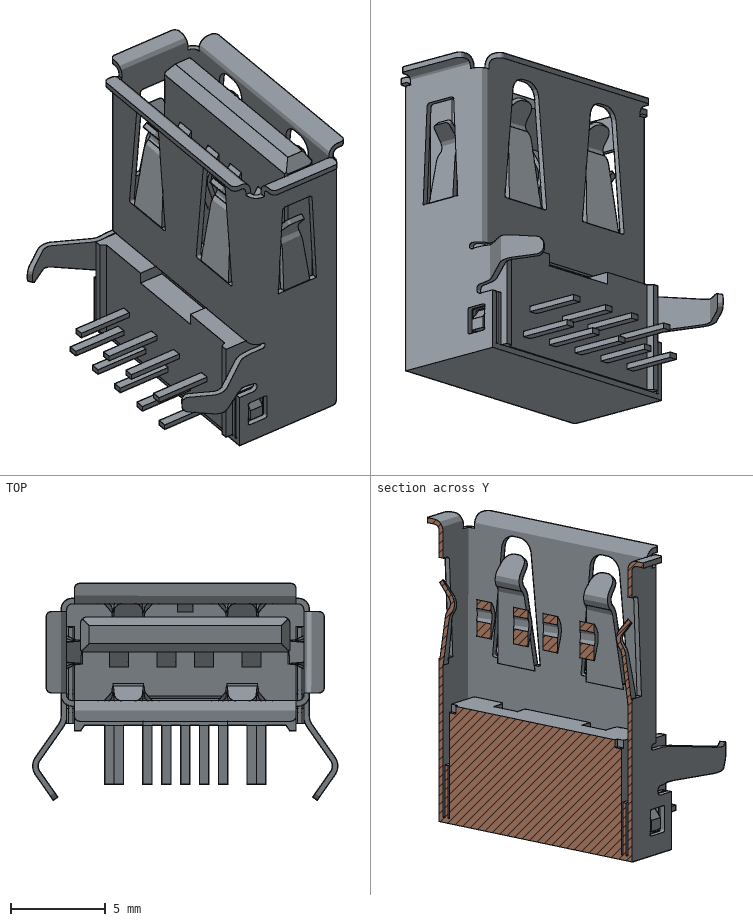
import cadquery as cq
import math


SHEET = 0.3
SHELL_X = 13.1
SHELL_Y = 5.7
HALF_X = SHELL_X / 2
HALF_Y = SHELL_Y / 2
INNER_X = HALF_X - SHEET
INNER_Y = HALF_Y - SHEET
CORNER_RADIUS = 0.6
HEEL_RADIUS = 0.45
TOP_Z = 16.48
CORNER_TOP_Z = 15.7
FRONT_BOTTOM_Z = 6.08
FOOT_Y = -3.76

LIP_OVERHANG = 0.79
LIP_CORNER_RADIUS = 0.3
LIP_BEND_RADIUS = 0.45
LIP_LENGTH_X = 11.7
LIP_LENGTH_Y = 4.3

FINGER_ROOT_Z = 8.9
FINGER_KNEE_IN = 0.45
FINGER_CREST_IN = 0.96
FINGER_TIP_IN = -0.03
FINGER_KNEE_DROP = 0.58
FINGER_TIP_RISE = 1.165
FINGER_KNEE_RADIUS = 0.83
FINGER_CREST_RADIUS = 0.6
FRONT_CREST_Z = 13.475
SIDE_CREST_Z = 12.03
FRONT_WINDOW_WIDTHS = (3.24, 1.84)
FRONT_FINGER_WIDTHS = (2.53, 1.21)
SIDE_WINDOW_WIDTHS = (2.48, 1.9)
SIDE_FINGER_WIDTHS = (1.74, 0.86)
FRONT_TIP_RADIUS = 0.62
SIDE_TIP_RADIUS = 0.2
FRONT_WINDOW_TOP_RADIUS = 0.82
FRONT_WINDOW_BOTTOM_RADIUS = 0.12
SIDE_WINDOW_TOP_Z = 14.42
SIDE_WINDOW_RADIUS = 0.2
FINGER_X = 3.0

HOOK_SPAN = 16.1
HOOK_Z = 4.72
HOOK_ROOT_HEIGHT = 2.06
HOOK_TIP_HEIGHT = 0.9
HOOK_TIP_RADIUS = 0.4
HOOK_ANGLE = 35.0
HOOK_ROOT_RADIUS = 0.95
HOOK_KNEE_RADIUS = 0.65
HOOK_ROOT_Y = -3.0
HOOK_KNEE_Y = -6.0
HOOK_TIP_Y = -7.81
SLOT_ABOVE_HOOK_END_Y = -2.1
SLOT_BELOW_HOOK_END_Y = -2.62
SLOT_END_ROUNDING = 0.49
SLOT_BELOW_HOOK_Z = 3.17

EAR_INNER_X = 5.92
EAR_OUTER_X = 6.15
EAR_BACK_Y = 1.3

BODY_HALF_X = 5.85
BODY_FRONT_Y = -3.85
BODY_STEP_Y = 1.36
RIB_FRONT_Y = -4.14
RIB_INNER_X = 5.5
RIB_FOOT_X = 5.31
NOTCH_WIDTH = 4.48
NOTCH_BACK_Y = -2.45
NOTCH_LEAN = 0.14
NOTCH_LEAN_Z = 5.95
NOTCH_Z = 5.43
FLOOR_Z = 6.5
FINGER_POCKET_WIDTH = 1.6
FINGER_POCKET_Y = 1.65
FINGER_POCKET_FLARE = 0.27
SIDE_POCKET_WIDTH = 1.24
SIDE_POCKET_X = 5.42

TONGUE_HALF_X = 5.52
TONGUE_BACK_Y = 1.86
TONGUE_TOP_Z = 16.25
TONGUE_TAPER_Z = 15.55
TONGUE_TAPER = 0.45
TONGUE_BACK_RADIUS = 0.35
TONGUE_FRONT_CHAMFER = 0.13

LATCH_Y = -2.58
LATCH_WIDTH = 0.78
LATCH_BOTTOM_Z = 1.29
LATCH_SLOPE_Z = 1.9
LATCH_TOP_Z = 2.5
LATCH_OUTER_X = 6.45
LATCH_WINDOW_WIDTH = 1.2
LATCH_WINDOW_BOTTOM_Z = 1.09
LATCH_WINDOW_TOP_Z = 2.54
LATCH_WINDOW_RADIUS = 0.12

BACK_TAB_WIDTH = 0.8
BACK_TAB_DEPTH = 0.42
BACK_TAB_HEIGHT = 1.0
BACK_TAB_TOP_Z = 8.5
BACK_TAB_BEND_RADIUS = 0.3

CONTACT_XS = (-3.5, -1.0, 1.0, 3.5)
CONTACT_WIDTH = 1.0
CONTACT_SHEET = 0.25
CONTACT_TOP_Z = 13.24
CONTACT_CREST_Z = 11.9
CONTACT_FOOT_Z = 9.1
CONTACT_BULGE = 0.86
CONTACT_BEND_RADIUS = 1.0
PIN_WIDTH = 0.5
PIN_HEIGHT = 0.3
PIN_TIP_Y = -6.97
UPPER_PIN_Z = 2.72
LOWER_PIN_Z = 1.23
LOWER_PIN_XS = (-4.0, -2.0, 0.0, 2.0, 4.0)


def block(x0, x1, y0, y1, z0, z1):
    """Box given by its limits along each axis."""
    return cq.Workplane("XY").box(x1 - x0, y1 - y0, z1 - z0, centered=False).translate((x0, y0, z0))


def both_sides(solid, plane):
    """The solid together with its mirror image."""
    return solid.union(solid.mirror(plane))


def bent_strip(plane, points, bend_radii, thickness, width):
    """Sheet strip centred on the plane; its centreline follows the points, one radius for each bend."""
    path = [cq.Vector(a, b) for a, b in points]
    steps = [(q - p).normalized() for p, q in zip(path, path[1:])]
    normals = [cq.Vector(-s.y, s.x) for s in steps]

    def side(sign):
        """One face of the sheet: its first point, (start, middle, end) of every bend, its last point."""
        shift = sign * thickness / 2
        bends = []
        for i, bend_radius in enumerate(bend_radii):
            before, after = steps[i], steps[i + 1]
            corner = path[i + 1]
            turn = math.atan2(before.cross(after).z, before.dot(after))
            setback = bend_radius * math.tan(abs(turn) / 2)
            start = corner - before * setback
            end = corner + after * setback
            centre = start + normals[i] * math.copysign(bend_radius, turn)
            radius = bend_radius - math.copysign(shift, turn * shift)
            middle = centre + (corner - centre).normalized() * radius
            bends.append((start + normals[i] * shift, middle, end + normals[i + 1] * shift))
        return path[0] + normals[0] * shift, bends, path[-1] + normals[-1] * shift

    left_first, left_bends, left_last = side(1)
    right_first, right_bends, right_last = side(-1)
    outline = cq.Workplane(plane).moveTo(left_first.x, left_first.y)
    for start, middle, end in left_bends:
        outline = outline.lineTo(start.x, start.y).threePointArc((middle.x, middle.y), (end.x, end.y))
    outline = outline.lineTo(left_last.x, left_last.y).lineTo(right_last.x, right_last.y)
    for start, middle, end in reversed(right_bends):
        outline = outline.lineTo(end.x, end.y).threePointArc((middle.x, middle.y), (start.x, start.y))
    return outline.lineTo(right_first.x, right_first.y).close().extrude(width / 2, both=True)


def tapered_plate(plane, depth, bottom_z, top_z, bottom_width, top_width):
    """Upright trapezoid extruded from the plane."""
    half_bottom = bottom_width / 2
    half_top = top_width / 2
    outline = [(-half_bottom, bottom_z), (half_bottom, bottom_z), (half_top, top_z), (-half_top, top_z)]
    return cq.Workplane(plane).polyline(outline).close().extrude(depth)


def lip(plane, outward, half_size, length):
    """Lip flaring away from the wall at the positive end of the outward axis."""
    wall = half_size - SHEET / 2
    path = [
        (wall, CORNER_TOP_Z),
        (wall, TOP_Z - SHEET / 2),
        (half_size + LIP_OVERHANG, TOP_Z - SHEET / 2),
    ]
    strip = bent_strip(plane, path, [LIP_BEND_RADIUS], SHEET, length)
    return strip.faces(">" + outward).edges("|Z").fillet(LIP_CORNER_RADIUS)


def make_tube():
    """Box shaped shell: four walls and a bottom plate, the front wall ending above the pins."""
    upper = block(-HALF_X, HALF_X, -HALF_Y, HALF_Y, FRONT_BOTTOM_Z, CORNER_TOP_Z)
    upper = upper.edges("|Z").fillet(CORNER_RADIUS)
    upper_hole = block(-INNER_X, INNER_X, -INNER_Y, INNER_Y, FRONT_BOTTOM_Z, CORNER_TOP_Z)
    upper = upper.cut(upper_hole.edges("|Z").fillet(CORNER_RADIUS - SHEET))

    lower = block(-HALF_X, HALF_X, FOOT_Y, HALF_Y, 0, FRONT_BOTTOM_Z)
    lower = lower.edges("|Z and >Y").fillet(CORNER_RADIUS)
    lower_hole = block(-INNER_X, INNER_X, FOOT_Y, INNER_Y, SHEET, FRONT_BOTTOM_Z)
    lower = lower.cut(lower_hole.edges("|Z and >Y").fillet(CORNER_RADIUS - SHEET))
    heel = block(-HALF_X, HALF_X, FOOT_Y, HALF_Y, 0, FRONT_BOTTOM_Z)
    lower = lower.intersect(heel.edges("|X and >Y and <Z").fillet(HEEL_RADIUS))
    return upper.union(lower)


def side_slot(end_y, bottom_z, top_z):
    """Slot through both side walls, open to the front, with a round back end."""
    slot = block(-HALF_X, HALF_X, RIB_FRONT_Y, end_y, bottom_z, top_z)
    return slot.edges("|X and >Y").fillet(SLOT_END_ROUNDING * (top_z - bottom_z))


def finger_strip(plane, outer, crest_z, width):
    """Spring strip leaning inward from a wall to its crest and back out; outer is the wall's outer face."""
    wall = outer - math.copysign(SHEET / 2, outer)
    inward = -math.copysign(1, outer)
    path = [
        (wall, FINGER_ROOT_Z - SHEET),
        (wall + inward * FINGER_KNEE_IN, crest_z - FINGER_KNEE_DROP),
        (wall + inward * FINGER_CREST_IN, crest_z),
        (wall + inward * FINGER_TIP_IN, crest_z + FINGER_TIP_RISE),
    ]
    return bent_strip(plane, path, [FINGER_KNEE_RADIUS, FINGER_CREST_RADIUS], SHEET, width)


def front_fingers():
    """Window cutters and spring fingers of the front wall."""
    window = tapered_plate("XZ", HALF_Y, FINGER_ROOT_Z, CORNER_TOP_Z, *FRONT_WINDOW_WIDTHS)
    window = window.faces(">Z").edges("|Y").fillet(FRONT_WINDOW_TOP_RADIUS)
    window = window.faces("<Z").edges("|Y").fillet(FRONT_WINDOW_BOTTOM_RADIUS)

    plan = tapered_plate("XZ", HALF_Y + SHEET, FINGER_ROOT_Z - SHEET, CORNER_TOP_Z, *FRONT_FINGER_WIDTHS)
    finger = finger_strip("YZ", -HALF_Y, FRONT_CREST_Z, SHELL_X).intersect(plan)
    finger = finger.faces(">Z").edges("not |X").fillet(FRONT_TIP_RADIUS)
    right = (FINGER_X, 0, 0)
    return both_sides(window.translate(right), "YZ"), both_sides(finger.translate(right), "YZ")


def side_finger():
    """Window cutter and spring finger of the +X wall."""
    window = tapered_plate("YZ", HALF_X, FINGER_ROOT_Z, SIDE_WINDOW_TOP_Z, *SIDE_WINDOW_WIDTHS)
    window = window.faces(">Z").edges("|X").fillet(SIDE_WINDOW_RADIUS)

    plan = tapered_plate("YZ", HALF_X + SHEET, FINGER_ROOT_Z - SHEET, SIDE_WINDOW_TOP_Z, *SIDE_FINGER_WIDTHS)
    finger = finger_strip("XZ", HALF_X, SIDE_CREST_Z, SHELL_Y).intersect(plan)
    finger = finger.faces(">Z").edges("not |Y").fillet(SIDE_TIP_RADIUS)
    return window, finger


def hook():
    """Board hook on the +X side, springing outward and back in while it tapers to a round tip."""
    wall = HALF_X - SHEET / 2
    lean = math.radians(HOOK_ANGLE)
    knee_x = HOOK_SPAN / 2 - SHEET / 2 + HOOK_KNEE_RADIUS * (1 / math.cos(lean) - 1)
    root_y = HOOK_KNEE_Y + (knee_x - wall) / math.tan(lean)
    tip_y = HOOK_TIP_Y + SHEET / 2 * math.sin(lean)
    tip_x = knee_x - (HOOK_KNEE_Y - tip_y) * math.tan(lean)
    path = [(wall, HOOK_ROOT_Y), (wall, root_y), (knee_x, HOOK_KNEE_Y), (tip_x, tip_y)]
    strip = bent_strip("XY", path, [HOOK_ROOT_RADIUS, HOOK_KNEE_RADIUS], SHEET, HOOK_ROOT_HEIGHT)

    root_half = HOOK_ROOT_HEIGHT / 2
    tip_half = HOOK_TIP_HEIGHT / 2
    outline = [
        (HOOK_ROOT_Y, -root_half),
        (HOOK_ROOT_Y, root_half),
        (HOOK_TIP_Y, tip_half),
        (HOOK_TIP_Y, -tip_half),
    ]
    plan = cq.Workplane("YZ").polyline(outline).close().extrude(HOOK_SPAN)
    tapered = strip.intersect(plan).faces("<Y").edges("not |Z").fillet(HOOK_TIP_RADIUS)
    return tapered.translate((0, 0, HOOK_Z))


def latch_window():
    """Cutter for the window of the latch, through both side walls and the ears."""
    window = block(
        -HALF_X,
        HALF_X,
        LATCH_Y - LATCH_WINDOW_WIDTH / 2,
        LATCH_Y + LATCH_WINDOW_WIDTH / 2,
        LATCH_WINDOW_BOTTOM_Z,
        LATCH_WINDOW_TOP_Z,
    )
    return window.edges("|X").fillet(LATCH_WINDOW_RADIUS)


def back_tab():
    """Small tab bent inward from the back wall."""
    wall = HALF_Y - SHEET / 2
    bent_in = wall - BACK_TAB_DEPTH
    path = [
        (wall, BACK_TAB_TOP_Z),
        (bent_in, BACK_TAB_TOP_Z - BACK_TAB_HEIGHT / 2),
        (bent_in, BACK_TAB_TOP_Z - BACK_TAB_HEIGHT),
    ]
    return bent_strip("YZ", path, [BACK_TAB_BEND_RADIUS], SHEET, BACK_TAB_WIDTH)


def make_shell():
    """Sheet metal shell with its lips, spring fingers, hooks and ears."""
    ear = block(EAR_INNER_X, EAR_OUTER_X, FOOT_Y, EAR_BACK_Y, 0, SLOT_BELOW_HOOK_Z)
    shell = make_tube().union(both_sides(ear, "YZ")).cut(latch_window())
    hook_top_z = HOOK_Z + HOOK_ROOT_HEIGHT / 2
    hook_bottom_z = HOOK_Z - HOOK_ROOT_HEIGHT / 2
    shell = shell.cut(side_slot(SLOT_ABOVE_HOOK_END_Y, hook_top_z, FRONT_BOTTOM_Z))
    shell = shell.cut(side_slot(SLOT_BELOW_HOOK_END_Y, SLOT_BELOW_HOOK_Z, hook_bottom_z))
    shell = shell.cut(block(-HALF_X, HALF_X, FOOT_Y, HOOK_ROOT_Y, hook_bottom_z, hook_top_z))

    front_windows, front_springs = front_fingers()
    side_window, side_spring = side_finger()
    shell = shell.cut(both_sides(front_windows, "XZ")).cut(both_sides(side_window, "YZ"))
    shell = shell.union(both_sides(front_springs, "XZ")).union(both_sides(side_spring, "YZ"))

    shell = shell.union(both_sides(lip("YZ", "Y", HALF_Y, LIP_LENGTH_X), "XZ"))
    shell = shell.union(both_sides(lip("XZ", "X", HALF_X, LIP_LENGTH_Y), "YZ"))
    return shell.union(both_sides(hook(), "YZ")).union(back_tab())


def finger_pocket():
    """Relief in the floor below a front finger, flaring out at the wall."""
    half = FINGER_POCKET_WIDTH / 2
    flare = FINGER_POCKET_FLARE
    outline = (
        cq.Workplane("XY")
        .moveTo(-half, -FINGER_POCKET_Y)
        .lineTo(-half, -INNER_Y + flare)
        .radiusArc((-half - flare, -INNER_Y), flare)
        .lineTo(half + flare, -INNER_Y)
        .radiusArc((half, -INNER_Y + flare), flare)
        .lineTo(half, -FINGER_POCKET_Y)
        .close()
    )
    return outline.extrude(FLOOR_Z - FRONT_BOTTOM_Z).translate((FINGER_X, 0, FRONT_BOTTOM_Z))


def make_body():
    """Insulator block below the mouth, with two front ribs, a notch and reliefs for the springs."""
    outline = [
        (INNER_X, INNER_Y),
        (INNER_X, BODY_STEP_Y),
        (BODY_HALF_X, BODY_STEP_Y),
        (BODY_HALF_X, RIB_FRONT_Y),
        (RIB_INNER_X, RIB_FRONT_Y),
        (RIB_FOOT_X, BODY_FRONT_Y),
        (0, BODY_FRONT_Y),
        (0, INNER_Y),
    ]
    half_body = cq.Workplane("XY").polyline(outline).close().extrude(FLOOR_Z - SHEET)
    half_body = half_body.edges("|Z and >X and >Y").fillet(CORNER_RADIUS - SHEET)
    body = both_sides(half_body.translate((0, 0, SHEET)), "YZ")
    body = body.cut(block(-HALF_X, HALF_X, RIB_FRONT_Y, -INNER_Y, FRONT_BOTTOM_Z, FLOOR_Z))

    notch = (
        cq.Workplane("YZ")
        .moveTo(RIB_FRONT_Y, NOTCH_Z)
        .lineTo(NOTCH_BACK_Y, NOTCH_Z)
        .lineTo(NOTCH_BACK_Y, NOTCH_LEAN_Z)
        .lineTo(NOTCH_BACK_Y + NOTCH_LEAN, FLOOR_Z)
        .lineTo(RIB_FRONT_Y, FLOOR_Z)
        .close()
    )
    body = body.cut(notch.extrude(NOTCH_WIDTH / 2, both=True))

    pockets = both_sides(both_sides(finger_pocket(), "YZ"), "XZ")
    half_pocket = SIDE_POCKET_WIDTH / 2
    side_pocket = block(SIDE_POCKET_X, INNER_X, -half_pocket, half_pocket, FRONT_BOTTOM_Z, FLOOR_Z)
    return body.cut(pockets).cut(both_sides(side_pocket, "YZ"))


def make_tongue():
    """Tongue standing in the mouth, tapered on all sides at its tip."""
    length = 2 * TONGUE_HALF_X
    middle_y = TONGUE_BACK_Y / 2
    stem = cq.Workplane("XY").rect(length, TONGUE_BACK_Y).extrude(TONGUE_TOP_Z - FRONT_BOTTOM_Z)
    stem = stem.edges("|Z and >Y").fillet(TONGUE_BACK_RADIUS)
    stem = stem.edges("|Z and <Y").chamfer(TONGUE_FRONT_CHAMFER)
    stem = stem.translate((0, middle_y, FRONT_BOTTOM_Z))

    full_top = cq.Workplane("XY").rect(length, TONGUE_BACK_Y)
    taper_height = TONGUE_TOP_Z - TONGUE_TAPER_Z
    tip = full_top.workplane(offset=taper_height).rect(
        length - 2 * TONGUE_TAPER, TONGUE_BACK_Y - 2 * TONGUE_TAPER
    )
    tip = tip.loft(ruled=True).translate((0, middle_y, TONGUE_TAPER_Z))
    straight = block(-TONGUE_HALF_X, TONGUE_HALF_X, 0, TONGUE_BACK_Y, FRONT_BOTTOM_Z, TONGUE_TAPER_Z)
    return stem.intersect(straight.union(tip))


def make_latch():
    """Wedge on the +X flank of the body that snaps into the window of the side wall."""
    outline = [
        (BODY_HALF_X, LATCH_BOTTOM_Z),
        (LATCH_OUTER_X, LATCH_BOTTOM_Z),
        (LATCH_OUTER_X, LATCH_SLOPE_Z),
        (EAR_INNER_X, LATCH_TOP_Z),
        (BODY_HALF_X, LATCH_TOP_Z),
    ]
    wedge = cq.Workplane("XZ").polyline(outline).close().extrude(LATCH_WIDTH / 2, both=True)
    return wedge.translate((0, LATCH_Y, 0))


def contact(x):
    """Contact spring bulging from the front of the tongue and returning into it."""
    path = [
        (CONTACT_SHEET / 2, CONTACT_TOP_Z),
        (CONTACT_SHEET / 2 - CONTACT_BULGE, CONTACT_CREST_Z),
        (CONTACT_SHEET / 2, CONTACT_FOOT_Z),
    ]
    strip = bent_strip("YZ", path, [CONTACT_BEND_RADIUS], CONTACT_SHEET, CONTACT_WIDTH)
    return strip.translate((x, 0, 0))


def pin(x, z):
    """Straight solder pin leaving the front of the body."""
    half_width = PIN_WIDTH / 2
    half_height = PIN_HEIGHT / 2
    return block(
        x - half_width, x + half_width, PIN_TIP_Y, BODY_FRONT_Y, z - half_height, z + half_height
    )


result = make_shell().union(make_body()).union(make_tongue())
result = result.union(both_sides(make_latch(), "YZ"))
for contact_x in CONTACT_XS:
    result = result.union(contact(contact_x)).union(pin(contact_x, UPPER_PIN_Z))
for pin_x in LOWER_PIN_XS:
    result = result.union(pin(pin_x, LOWER_PIN_Z))